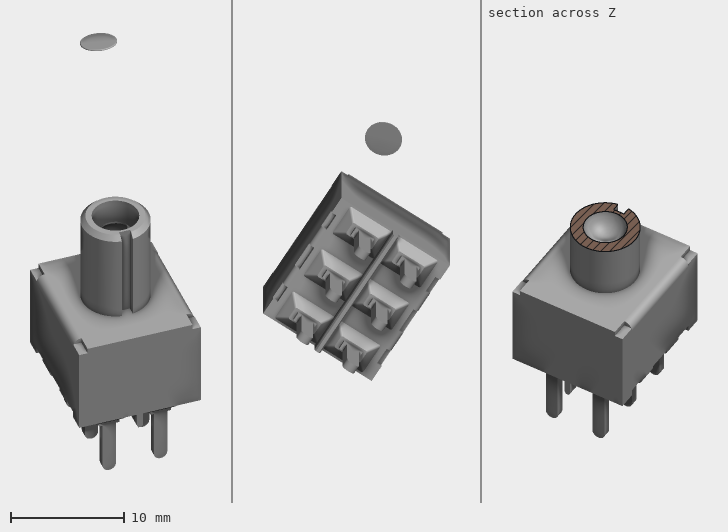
import cadquery as cq
import math

overall_height = 41.2

housing_length = 12.7
housing_width = 11.4
housing_height = 8.8

sheet = 0.5
arm_length = 9.52
arm_bottom = 0.6
arm_bend_radius = 0.8
tab_length = 1.95
tab_spacing = 4.33
tab_bend_radius = 0.45

bushing_diameter = 6.22
bushing_height = 8.95
bushing_chamfer = 0.45
bore_diameter = 4.2
keyway_width = 1.05
keyway_radius = 2.3

ball_radius = bore_diameter / 2
ball_depth = 3.4
ball_wall = 0.12
ball_opening_diameter = 2.4
lever_tilt = 12.5

disc_diameter = 3.3
disc_thickness = 0.12
disc_edge_radius = 0.1

pin_pitch_x = 4.65
pin_pitch_y = 4.82
pin_thickness = 0.8
pin_width = 1.25
pin_length = 6.68
shoulder_width = 1.95
shoulder_height = 0.5

boss_height = 1.0
boss_length = 2.95
boss_width = 4.45
boss_edge_radius = 0.25
boss_inset = 0.85

rib_width = 0.58
rib_height = 1.5
rib_chamfer_height = 0.25
rib_chamfer_width = 0.12

bushing_top = housing_height + bushing_height
ball_center_z = bushing_top - ball_depth
lid_width = housing_width - 2 * arm_bend_radius
tilt = math.radians(lever_tilt)
lever_axis = cq.Vector(-math.sin(tilt), 0, math.cos(tilt))
boss_taper = math.degrees(math.atan2(boss_inset, boss_height))


def box(length, width, height, center_x, center_y, bottom):
    """Upright box centred on X and Y and standing on the given height."""
    return (
        cq.Workplane("XY", origin=(center_x, center_y, bottom))
        .rect(length, width)
        .extrude(height)
    )


def lever_plane(distance):
    """Plane square to the tilted lever axis at a distance from the ball centre."""
    origin = (distance * lever_axis.x, 0, ball_center_z + distance * lever_axis.z)
    return cq.Plane(origin=origin, xDir=(math.cos(tilt), 0, math.sin(tilt)), normal=lever_axis)


def ball(radius):
    return cq.Workplane(lever_plane(0)).sphere(radius)


def make_block():
    """Housing core with full-height corner posts, below the sheet lid."""
    post_height = housing_height - sheet
    block = box(housing_length, housing_width, post_height, 0, 0, 0)
    for side in (-1, 1):
        recess_y = side * (housing_width - sheet) / 2
        block = block.cut(box(arm_length, sheet, post_height, 0, recess_y, 0))
    lid = box(housing_length, lid_width, sheet, 0, 0, post_height)
    return block.union(lid)


def make_cover_arm(side):
    """Arm bent down from the lid, with two crimped tabs at its lower edge."""
    depth = (housing_width - lid_width) / 2 + sheet
    center_y = side * (housing_width - depth) / 2
    outer_face = ">Y" if side > 0 else "<Y"
    arm = box(arm_length, depth, housing_height - arm_bottom, 0, center_y, arm_bottom)
    arm = arm.faces(outer_face).edges(">Z").fillet(arm_bend_radius)
    for tab_side in (-1, 1):
        tab = box(tab_length, sheet, arm_bottom, tab_side * tab_spacing / 2,
                  side * (housing_width - sheet) / 2, 0)
        tab = tab.faces(outer_face).edges("<Z").fillet(tab_bend_radius)
        arm = arm.union(tab)
    return arm


def make_bushing():
    bushing = (
        cq.Workplane("XY", origin=(0, 0, housing_height))
        .circle(bushing_diameter / 2)
        .extrude(bushing_height)
        .faces(">Z")
        .chamfer(bushing_chamfer)
    )
    keyway_depth = bushing_diameter / 2 - keyway_radius
    keyway_x = keyway_radius + keyway_depth / 2
    return bushing.cut(box(keyway_depth, keyway_width, bushing_height, keyway_x, 0, housing_height))


def cut_bore(body):
    """Bore down to the ball's equator, leaving the upper half of the ball standing."""
    bore = (
        cq.Workplane("XY", origin=(0, 0, ball_center_z))
        .circle(bore_diameter / 2)
        .extrude(ball_depth)
        .cut(ball(ball_radius))
    )
    opening = cq.Workplane(lever_plane(0)).circle(ball_opening_diameter / 2).extrude(ball_radius)
    return body.cut(bore).cut(ball(ball_radius - ball_wall)).cut(opening)


def make_rib():
    half = rib_width / 2
    tip_half = half - rib_chamfer_width
    chamfer_z = rib_chamfer_height - rib_height
    return (
        cq.Workplane("YZ", origin=(-housing_length / 2, 0, 0))
        .polyline([(-half, 0), (half, 0), (half, chamfer_z), (tip_half, -rib_height),
                   (-tip_half, -rib_height), (-half, chamfer_z)])
        .close()
        .extrude(housing_length)
    )


def make_terminal(x, y):
    """Tapered boss, shouldered pin and rounded pin tip."""
    boss = (
        cq.Workplane("XY", origin=(x, y, 0))
        .rect(boss_length, boss_width)
        .extrude(-boss_height, taper=boss_taper)
        .edges("not #Z")
        .fillet(boss_edge_radius)
    )
    shoulder = box(pin_thickness, shoulder_width, shoulder_height, x, y, -boss_height - shoulder_height)
    tip_radius = pin_width / 2
    tip_z = tip_radius - pin_length
    pin = box(pin_thickness, pin_width, -boss_height - tip_z, x, y, tip_z)
    tip = (
        cq.Workplane("YZ", origin=(x - pin_thickness / 2, y, tip_z))
        .circle(tip_radius)
        .extrude(pin_thickness)
    )
    return boss.union(shoulder).union(pin).union(tip)


def make_switch():
    body = make_block()
    for side in (-1, 1):
        body = body.union(make_cover_arm(side))
    body = cut_bore(body.union(make_bushing()))
    body = body.union(make_rib())
    for column in (-1, 0, 1):
        for row in (-0.5, 0.5):
            body = body.union(make_terminal(column * pin_pitch_x, row * pin_pitch_y))
    return body


def make_tip_disc():
    """Thin disc with a rounded upper rim; its highest point sets the overall height."""
    top_z = overall_height - pin_length
    rim_radius = disc_diameter / 2 - disc_edge_radius
    rim_rise = rim_radius * math.sin(tilt) + disc_edge_radius
    face_rise = top_z - rim_rise - ball_center_z
    face_distance = face_rise / math.cos(tilt) + disc_edge_radius
    return (
        cq.Workplane(lever_plane(face_distance - disc_thickness))
        .circle(disc_diameter / 2)
        .extrude(disc_thickness)
        .faces(cq.selectors.CenterNthSelector(lever_axis, -1))
        .edges()
        .fillet(disc_edge_radius)
    )


switch = make_switch()
tip_disc = make_tip_disc()

result = cq.Compound.makeCompound([switch.val(), tip_disc.val()])